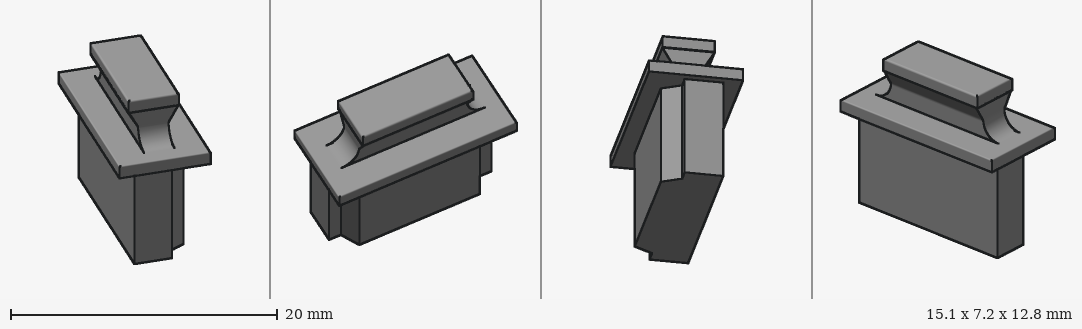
import cadquery as cq

flange_length = 15.1
flange_width = 7.2
flange_thickness = 1.0

plug_length = 13.8
plug_width = 4.44
plug_depth = 8.0
plug_shoulder = 1.0
plug_taper_width = 1.48
plug_taper_inset = 0.79

neck_length = 9.2
neck_width = 2.4
neck_root_radius = 1.5
flare_height = 1.37
flare_blend_radius = 0.5
grip_height = 2.81
cap_length = 9.4
cap_width = 4.0
cap_thickness = 1.0

flange_edge_radius = 0.1
cap_edge_radius = 0.15

flange_top = flange_thickness
cap_bottom = flange_top + grip_height
flare_bottom = cap_bottom - flare_height


def make_plug():
    """Plug with a shoulder at each end, beyond which it tapers towards +Y."""
    half_length = plug_length / 2
    half_width = plug_width / 2
    shoulder_y = half_width - plug_taper_width
    taper_start = half_length - plug_shoulder
    taper_end = taper_start - plug_taper_inset
    return (
        cq.Workplane("XY")
        .moveTo(-half_length, -half_width)
        .lineTo(half_length, -half_width)
        .lineTo(half_length, shoulder_y)
        .lineTo(taper_start, shoulder_y)
        .lineTo(taper_end, half_width)
        .lineTo(-taper_end, half_width)
        .lineTo(-taper_start, shoulder_y)
        .lineTo(-half_length, shoulder_y)
        .close()
        .extrude(-plug_depth)
    )


def make_plate(length, width, thickness, bottom, edge_radius):
    """Rectangular plate with its top edges rounded."""
    plate = cq.Workplane("XY").box(length, width, thickness, centered=(True, True, False))
    return plate.faces(">Z").edges().fillet(edge_radius).translate((0, 0, bottom))


def make_neck():
    """Neck with concave roots at both ends, limited to a flared cross-section."""
    half_length = neck_length / 2
    root_end = half_length + neck_root_radius
    root_top = flange_top + neck_root_radius
    arc_offset = neck_root_radius * 0.5**0.5
    arc_x = root_end - arc_offset
    arc_z = root_top - arc_offset
    side_profile = (
        cq.Workplane("XZ")
        .moveTo(-root_end, flange_top)
        .lineTo(root_end, flange_top)
        .threePointArc((arc_x, arc_z), (half_length, root_top))
        .lineTo(half_length, cap_bottom)
        .lineTo(-half_length, cap_bottom)
        .lineTo(-half_length, root_top)
        .threePointArc((-arc_x, arc_z), (-root_end, flange_top))
        .close()
        .extrude(cap_width / 2, both=True)
    )
    cross_section = (
        cq.Workplane("YZ")
        .polyline([
            (-neck_width / 2, flange_top),
            (neck_width / 2, flange_top),
            (neck_width / 2, flare_bottom),
            (cap_width / 2, cap_bottom),
            (-cap_width / 2, cap_bottom),
            (-neck_width / 2, flare_bottom),
        ])
        .close()
        .extrude(root_end, both=True)
    )
    crease = cq.selectors.BoxSelector(
        (-root_end, -cap_width, flare_bottom - flare_blend_radius),
        (root_end, cap_width, flare_bottom + flare_blend_radius),
    )
    cross_section = cross_section.edges(crease).edges("|X").fillet(flare_blend_radius)
    return side_profile.intersect(cross_section)


flange = make_plate(flange_length, flange_width, flange_thickness, 0, flange_edge_radius)
cap = make_plate(cap_length, cap_width, cap_thickness, cap_bottom, cap_edge_radius)
result = flange.union(make_plug()).union(make_neck()).union(cap)